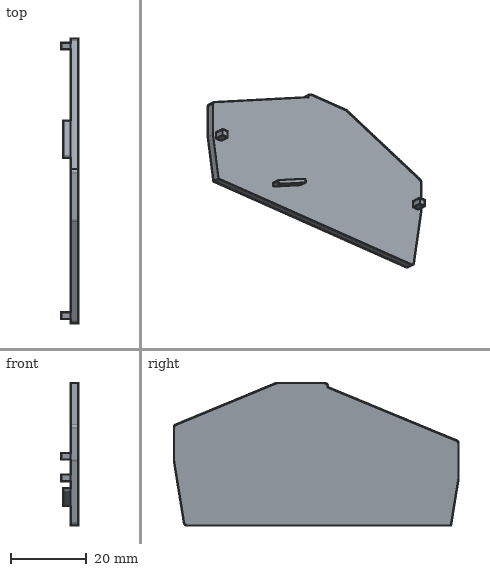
import cadquery as cq
import math

LENGTH = 75.1
HEIGHT = 37.6
PLATE_THICKNESS = 2.0
ROOF_ANGLE = math.radians(22.5)
FLANK_ANGLE = math.radians(9.2)
CORNER_RADIUS = 1.0

REAR_FLANK_TOP = 12.55
FRONT_FLANK_TOP = 17.2
REAR_EAVE = 22.2
STEP_Y = 3.1
CROWN_FRONT_Y = -10.5

PEG_SIDE = 1.8
PEG_LENGTH = 2.55
PEG_Y = 35.5
REAR_PEG_Z = 12.6
FRONT_PEG_Z = 18.3

RIB_WIDTH = 1.05
RIB_DEPTH = 2.0
RIB_SPAN = 9.7
RIB_CENTER_Y = 11.0
RIB_CENTER_Z = 7.5

HALF_LENGTH = LENGTH / 2
REAR_FOOT_Y = HALF_LENGTH - REAR_FLANK_TOP * math.tan(FLANK_ANGLE)
FRONT_FOOT_Y = -HALF_LENGTH + FRONT_FLANK_TOP * math.tan(FLANK_ANGLE)
FRONT_EAVE = HEIGHT - (HALF_LENGTH + CROWN_FRONT_Y) * math.tan(ROOF_ANGLE)
STEP_FOOT_Z = REAR_EAVE + (HALF_LENGTH - STEP_Y) * math.tan(ROOF_ANGLE)


def make_plate():
    outline = [
        (REAR_FOOT_Y, 0),
        (HALF_LENGTH, REAR_FLANK_TOP),
        (HALF_LENGTH, REAR_EAVE),
        (STEP_Y, STEP_FOOT_Z),
        (STEP_Y, HEIGHT),
        (CROWN_FRONT_Y, HEIGHT),
        (-HALF_LENGTH, FRONT_EAVE),
        (-HALF_LENGTH, FRONT_FLANK_TOP),
        (FRONT_FOOT_Y, 0),
    ]
    rounded_corners = [
        (HALF_LENGTH, REAR_EAVE),
        (STEP_Y, HEIGHT),
        (CROWN_FRONT_Y, HEIGHT),
        (-HALF_LENGTH, FRONT_EAVE),
        (-HALF_LENGTH, FRONT_FLANK_TOP),
        (FRONT_FOOT_Y, 0),
    ]
    plate = cq.Workplane("YZ").polyline(outline).close().extrude(PLATE_THICKNESS)
    for y, z in rounded_corners:
        corner = cq.selectors.NearestToPointSelector((PLATE_THICKNESS / 2, y, z))
        plate = plate.edges("|X").edges(corner).fillet(CORNER_RADIUS)
    return plate


def make_pegs():
    centers = [(PEG_Y, REAR_PEG_Z), (-PEG_Y, FRONT_PEG_Z)]
    return cq.Workplane("YZ").pushPoints(centers).rect(PEG_SIDE, PEG_SIDE).extrude(-PEG_LENGTH)


def make_rib():
    """Round-ended rib parallel to the rear roof, falling toward +Y."""
    return (
        cq.Workplane("YZ")
        .center(RIB_CENTER_Y, RIB_CENTER_Z)
        .slot2D(RIB_SPAN + RIB_WIDTH, RIB_WIDTH, -math.degrees(ROOF_ANGLE))
        .extrude(-RIB_DEPTH)
    )


result = make_plate().union(make_pegs()).union(make_rib())